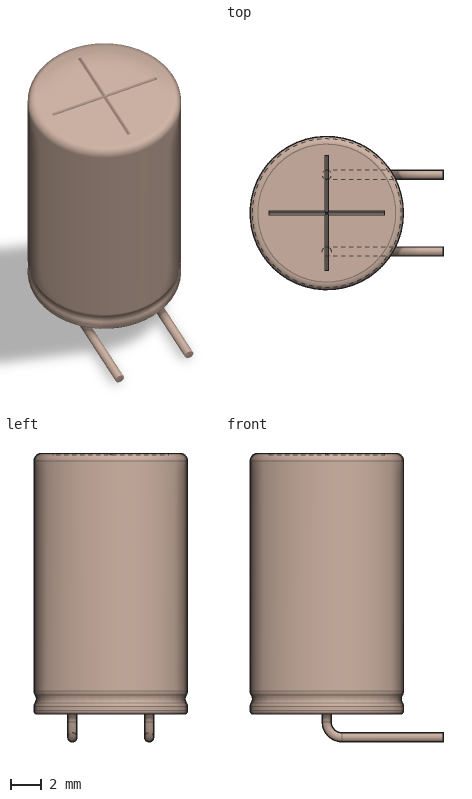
import cadquery as cq
import math

can_diameter = 10.0
can_radius = can_diameter / 2
top_fillet = 0.5
bottom_fillet = 0.23

groove_center_height = 1.0
groove_half_width = 0.5
groove_depth = 0.15

score_length = 7.5
score_width = 0.25
score_depth = score_width / 2

lead_diameter = 0.6
lead_pitch = 5.0
lead_drop = 0.5
bend_radius = 1.0
lead_reach = 7.6
lead_embed = 0.19

total_height = 18.81
can_height = total_height - lead_drop - bend_radius - lead_diameter / 2


def make_can():
    """Revolve the can profile, with its rounded rims and its crimp groove."""
    arc_radius = (groove_half_width**2 + groove_depth**2) / (4 * groove_depth)
    inflection_radius = can_radius - groove_depth / 2
    valley_sag = arc_radius - math.sqrt(arc_radius**2 - (groove_half_width / 2) ** 2)
    lip_sweep = math.asin(groove_half_width / 2 / arc_radius) / 2
    lip_mid_radius = can_radius - arc_radius * (1 - math.cos(lip_sweep))
    lip_mid_offset = groove_half_width - arc_radius * math.sin(lip_sweep)
    valley_radius = inflection_radius - valley_sag

    profile = (
        cq.Workplane("XZ")
        .lineTo(can_radius, 0)
        .lineTo(can_radius, groove_center_height - groove_half_width)
        .threePointArc(
            (lip_mid_radius, groove_center_height - lip_mid_offset),
            (inflection_radius, groove_center_height - groove_half_width / 2),
        )
        .threePointArc(
            (valley_radius, groove_center_height),
            (inflection_radius, groove_center_height + groove_half_width / 2),
        )
        .threePointArc(
            (lip_mid_radius, groove_center_height + lip_mid_offset),
            (can_radius, groove_center_height + groove_half_width),
        )
        .lineTo(can_radius, can_height)
        .lineTo(0, can_height)
        .close()
    )
    can = profile.revolve(360, (0, 0, 0), (0, 1, 0))
    return can.faces(">Z").edges().fillet(top_fillet).faces("<Z").edges().fillet(bottom_fillet)


def make_score():
    """Two crossed V-shaped notches sunk into the top face."""
    half_width = score_width / 2
    notch = (
        cq.Workplane("YZ", origin=(-score_length / 2, 0, can_height))
        .moveTo(-half_width, 0)
        .lineTo(0, -score_depth)
        .lineTo(half_width, 0)
        .close()
        .extrude(score_length)
    )
    crossing_notch = notch.rotate((0, 0, 0), (0, 0, 1), 90)
    return notch.union(crossing_notch)


def make_lead(y):
    """One round wire: a short drop, a quarter bend and a straight run along +X."""
    bend_mid_inset = bend_radius * (1 - math.cos(math.radians(45)))
    bend_mid_drop = bend_radius * math.sin(math.radians(45))
    path = (
        cq.Workplane("XZ", origin=(0, y, 0))
        .moveTo(0, lead_embed)
        .lineTo(0, -lead_drop)
        .threePointArc(
            (bend_mid_inset, -lead_drop - bend_mid_drop),
            (bend_radius, -lead_drop - bend_radius),
        )
        .lineTo(lead_reach, -lead_drop - bend_radius)
    )
    return cq.Workplane("XY", origin=(0, y, lead_embed)).circle(lead_diameter / 2).sweep(path)


result = make_can().cut(make_score())
for side in (-1, 1):
    result = result.union(make_lead(side * lead_pitch / 2))